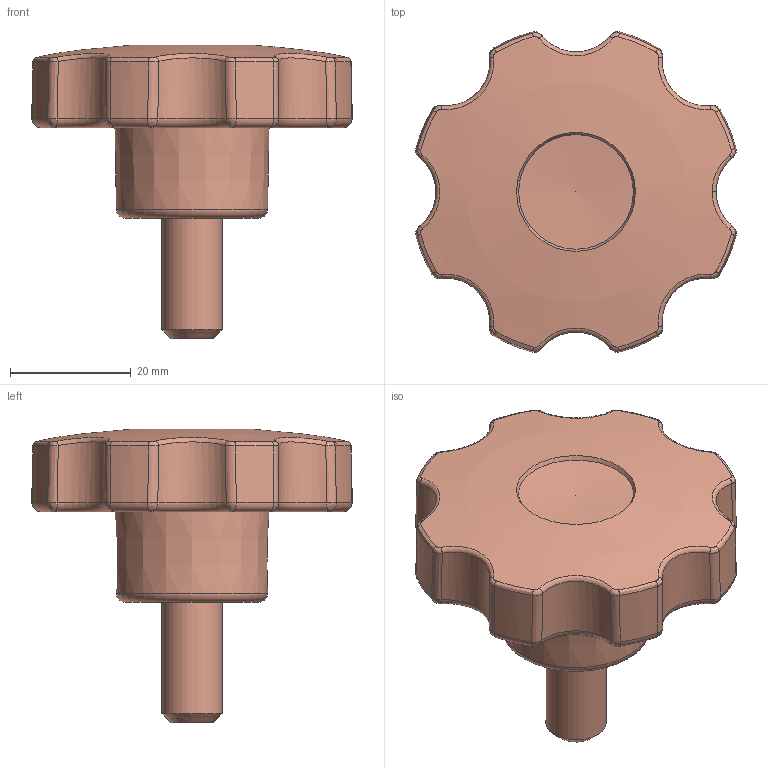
import cadquery as cq
import math

stud_length = 20.0
hub_height = 15.0
total_height = 48.67
rim_height = total_height - stud_length

stud_radius = 5.0
stud_chamfer = 1.5

head_draft_slope = math.tan(math.radians(1.3))
hub_draft_slope = math.tan(math.radians(1.0))
mould_fillet = 1.5

hub_bottom_radius = 12.5
hub_top_radius = hub_bottom_radius + hub_height * hub_draft_slope

head_radius = 27.53
dome_radius = 150.0
top_fillet = 0.75

scallop_count = 8
scallop_radius = 7.2
scallop_floor = 23.2
scallop_center = scallop_floor + scallop_radius
lobe_corner_fillet = 1.6

recess_rim_radius = 9.85
recess_floor_radius = 9.5
recess_edge_depth = 0.65
recess_center_depth = 1.2


def dome_height(radius):
    """Height of the dome surface at a distance from the axis."""
    apex_to_center = math.sqrt(dome_radius**2 - recess_rim_radius**2)
    return rim_height - apex_to_center + math.sqrt(dome_radius**2 - radius**2)


def make_head_blank():
    """Drafted disc with a domed top."""
    side_height = dome_height(head_radius) - hub_height
    top_radius = head_radius - side_height * head_draft_slope
    middle_radius = top_radius / 2
    profile = (
        cq.Workplane("XZ")
        .moveTo(0, hub_height)
        .lineTo(head_radius, hub_height)
        .lineTo(top_radius, dome_height(top_radius))
        .threePointArc((middle_radius, dome_height(middle_radius)), (0, dome_height(0)))
        .close()
    )
    return profile.revolve(360, (0, 0, 0), (0, 1, 0))


def cut_scallops(head):
    """Cut the straight-walled scallops."""
    cutter = cq.Solid.makeCylinder(
        scallop_radius,
        total_height - hub_height,
        pnt=cq.Vector(0, scallop_center, hub_height),
    )
    for index in range(scallop_count):
        angle = index * 360 / scallop_count
        head = head.cut(cutter.rotate(cq.Vector(), cq.Vector(0, 0, 1), angle))
    return head


def make_head():
    """Scalloped head with every outer edge rounded."""
    head = cut_scallops(make_head_blank())
    corner_box = cq.selectors.BoxSelector(
        (-head_radius, -head_radius, hub_height + mould_fillet),
        (head_radius, head_radius, dome_height(head_radius) - mould_fillet),
    )
    head = head.edges(corner_box).fillet(lobe_corner_fillet)
    head = head.faces("<Z").edges().fillet(mould_fillet)
    return head.faces(">Z").edges().fillet(top_fillet)


def make_hub():
    """Drafted hub with a rounded lower edge."""
    hub = cq.Workplane(cq.Solid.makeCone(hub_bottom_radius, hub_top_radius, hub_height))
    return hub.faces("<Z").edges().fillet(mould_fillet)


def make_stud():
    """Stud below the hub with a chamfered tip."""
    stud = cq.Workplane("XY").circle(stud_radius).extrude(-stud_length)
    return stud.faces("<Z").chamfer(stud_chamfer)


def make_recess():
    """Tapered shallow recess with a slightly conical floor."""
    floor_edge = rim_height - recess_edge_depth
    floor_center = rim_height - recess_center_depth
    profile = (
        cq.Workplane("XZ")
        .moveTo(0, floor_center)
        .lineTo(recess_floor_radius, floor_edge)
        .lineTo(recess_rim_radius, rim_height)
        .lineTo(recess_rim_radius, total_height)
        .lineTo(0, total_height)
        .close()
    )
    return profile.revolve(360, (0, 0, 0), (0, 1, 0))


result = make_head().union(make_hub()).union(make_stud()).cut(make_recess())